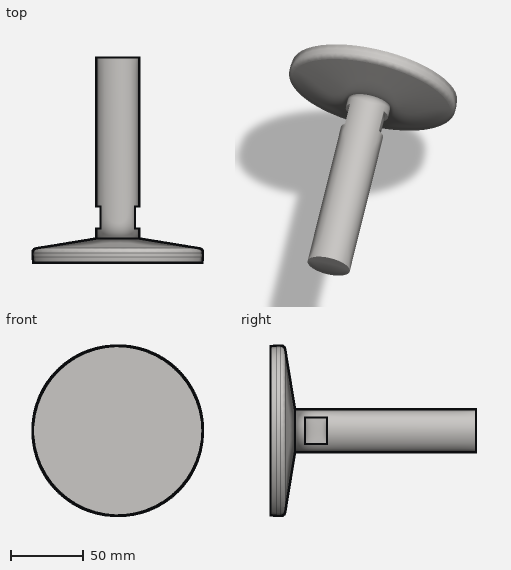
import cadquery as cq

total_length = 142.0
stem_diameter = 30.0
plate_diameter = 118.0
face_diameter = 117.0
taper_height = 4.0
corner_height = 9.8
shoulder_height = 17.0
rim_radius = 3.2
flat_start = 24.0
flat_length = 15.0
width_across_flats = 24.0

stem_radius = stem_diameter / 2
plate_radius = plate_diameter / 2
face_radius = face_diameter / 2


def make_plate():
    """Conical foot plate, with its bearing face at Y = 0."""
    profile = (
        cq.Workplane("XY")
        .polyline([
            (0, 0),
            (face_radius, 0),
            (plate_radius, taper_height),
            (plate_radius, corner_height),
            (stem_radius, shoulder_height),
            (0, shoulder_height),
        ])
        .close()
    )
    plate = profile.revolve(360, (0, 0, 0), (0, 1, 0))
    corner_edge = cq.selectors.NearestToPointSelector((0, corner_height, 0))
    return plate.edges("%CIRCLE").edges(corner_edge).fillet(rim_radius)


def make_stem():
    """Round stem along Y from the bearing face plane to the free end."""
    return cq.Workplane("XZ").circle(stem_radius).extrude(-total_length)


def make_flat_cutter(side):
    """Block that removes one wrench flat; side is -1 or +1 along X."""
    flat_offset = width_across_flats / 2
    center_x = side * (flat_offset + stem_radius / 2)
    center_y = flat_start + flat_length / 2
    return (
        cq.Workplane("XY")
        .box(stem_radius, flat_length, stem_diameter)
        .translate((center_x, center_y, 0))
    )


result = make_plate().union(make_stem())
for side in (-1, 1):
    result = result.cut(make_flat_cutter(side))